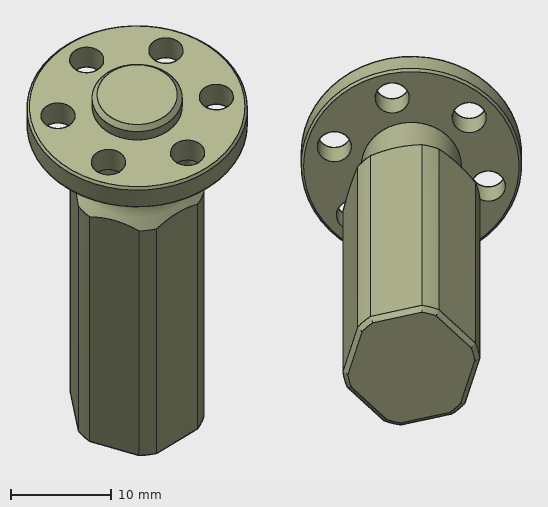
import cadquery as cq
import math

total_length = 46.85

flat_count = 6
across_flats = 12.7
corner_diameter = 13.75
handle_end_chamfer = 0.5

neck_diameter = 10.0
neck_straight_length = 4.85
neck_fillet_radius = 3.0
shoulder_angle = math.radians(45)

flange_diameter = 22.0
flange_thickness = 3.0
flange_chamfer = 0.25
hole_diameter = 3.4
hole_circle_diameter = 16.0
hole_count = 6
first_hole_angle = 90

boss_diameter = 9.0
boss_height = 1.75
boss_chamfer = 0.5

flange_top = total_length - boss_height
flange_bottom = flange_top - flange_thickness
fillet_top = flange_bottom - neck_straight_length
fillet_bottom = fillet_top - neck_fillet_radius * math.sin(shoulder_angle)
neck_radius = neck_diameter / 2
corner_radius = corner_diameter / 2
fillet_end_radius = neck_radius + neck_fillet_radius * (1 - math.cos(shoulder_angle))
shoulder_bottom = fillet_bottom - (corner_radius - fillet_end_radius) / math.tan(shoulder_angle)


def make_turned_shaft():
    """Handle envelope, conical shoulder, concave fillet and neck, turned about Z."""
    half_angle = shoulder_angle / 2
    fillet_middle = (
        neck_radius + neck_fillet_radius * (1 - math.cos(half_angle)),
        fillet_top - neck_fillet_radius * math.sin(half_angle),
    )
    profile = (
        cq.Workplane("XZ")
        .moveTo(0, 0)
        .lineTo(corner_radius, 0)
        .lineTo(corner_radius, shoulder_bottom)
        .lineTo(fillet_end_radius, fillet_bottom)
        .threePointArc(fillet_middle, (neck_radius, fillet_top))
        .lineTo(neck_radius, flange_bottom)
        .lineTo(0, flange_bottom)
        .close()
    )
    return profile.revolve(360, (0, 0, 0), (0, 1, 0))


def make_handle_and_neck():
    """Turned shaft with six flats, two of them facing along Y, and a chamfered lower end."""
    hexagon_corner_diameter = across_flats / math.cos(math.pi / flat_count)
    hexagon = cq.Workplane("XY").polygon(flat_count, hexagon_corner_diameter).extrude(flange_bottom)
    return make_turned_shaft().intersect(hexagon).faces("<Z").chamfer(handle_end_chamfer)


def make_flange():
    """Chamfered disc with the ring of holes through it."""
    disc = (
        cq.Workplane("XY", origin=(0, 0, flange_bottom))
        .circle(flange_diameter / 2)
        .extrude(flange_thickness)
        .edges()
        .chamfer(flange_chamfer)
    )
    holes = (
        cq.Workplane("XY", origin=(0, 0, flange_bottom))
        .polarArray(hole_circle_diameter / 2, first_hole_angle, 360, hole_count)
        .circle(hole_diameter / 2)
        .extrude(flange_thickness)
    )
    return disc.cut(holes)


def make_boss():
    """Short round boss with a chamfered top edge."""
    return (
        cq.Workplane("XY", origin=(0, 0, flange_top))
        .circle(boss_diameter / 2)
        .extrude(boss_height)
        .faces(">Z")
        .chamfer(boss_chamfer)
    )


result = make_handle_and_neck().union(make_flange()).union(make_boss())